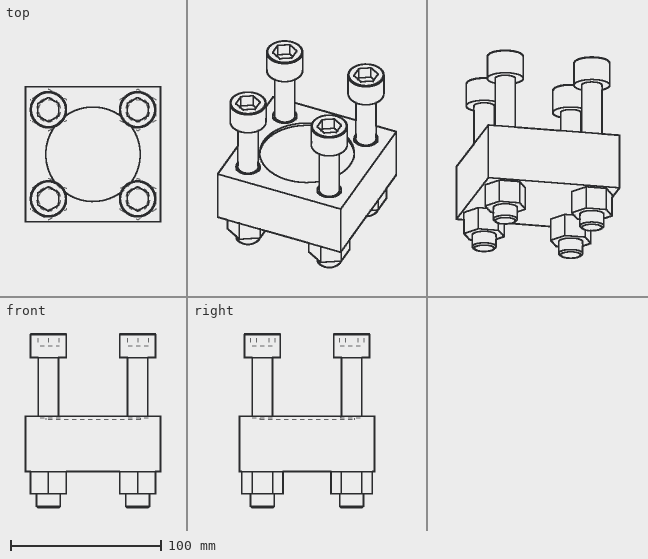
import cadquery as cq
import math

block_side = 90.0
block_height = 37.0
recess_diameter = 63.0
recess_depth = 2.0

bolt_spacing = 59.4
shank_diameter = 13.6
thread_diameter = 16.0
thread_chamfer = (thread_diameter - shank_diameter) / 2
head_diameter = 24.0
head_height = 16.0
head_chamfer = 0.6
socket_across_flats = 14.0
socket_depth = 8.0

nut_across_flats = 24.0
nut_height = 14.8

overall_height = 116
bolt_tip_z = -24.1
bolt_top_z = bolt_tip_z + overall_height
head_bottom_z = bolt_top_z - head_height
socket_bottom_z = bolt_top_z - socket_depth


def cylinder(diameter, bottom_z, top_z):
    """Upright cylinder on the Z axis."""
    return cq.Workplane("XY").workplane(offset=bottom_z).circle(diameter / 2).extrude(top_z - bottom_z)


def hex_prism(across_flats, bottom_z, top_z):
    """Upright hexagonal prism on the Z axis, with two corners pointing along Y."""
    across_corners = across_flats / math.cos(math.pi / 6)
    prism = (
        cq.Workplane("XY")
        .workplane(offset=bottom_z)
        .polygon(6, across_corners)
        .extrude(top_z - bottom_z)
    )
    return prism.rotate((0, 0, 0), (0, 0, 1), 90)


def make_block():
    """Block with a shallow round recess in its top and a clearance hole for each bolt."""
    block = cq.Workplane("XY").box(block_side, block_side, block_height, centered=(True, True, False))
    block = block.cut(cylinder(recess_diameter, block_height - recess_depth, block_height))
    return (
        block.faces("<Z")
        .workplane(origin=(0, 0, 0))
        .rect(bolt_spacing, bolt_spacing, forConstruction=True)
        .vertices()
        .hole(thread_diameter)
    )


def make_bolt_with_nut():
    """Socket-head bolt on the Z axis with its nut bearing on the underside of the block."""
    thread = cylinder(thread_diameter, bolt_tip_z, block_height).edges().chamfer(thread_chamfer)
    shank = cylinder(shank_diameter, block_height - thread_chamfer, head_bottom_z)
    head = cylinder(head_diameter, head_bottom_z, bolt_top_z).faces(">Z").edges().chamfer(head_chamfer)
    socket = hex_prism(socket_across_flats, socket_bottom_z, bolt_top_z)
    nut = hex_prism(nut_across_flats, -nut_height, 0)
    return thread.union(shank).union(head.cut(socket)).union(nut)


result = make_block()
bolt_with_nut = make_bolt_with_nut()
for x_side in (-1, 1):
    for y_side in (-1, 1):
        bolt_position = (x_side * bolt_spacing / 2, y_side * bolt_spacing / 2, 0)
        result = result.union(bolt_with_nut.translate(bolt_position))